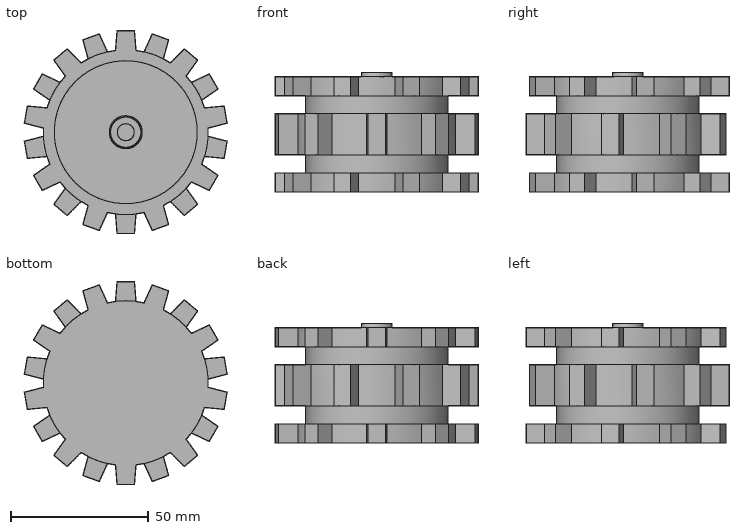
import cadquery as cq

TOOTH_COUNT = 9
TOOTH_PITCH = 360 / TOOTH_COUNT
ROOT_RADIUS = 30.0
TIP_RADIUS = 36.92
TIP_WIDTH = 6.4
ROOT_WIDTH = 7.5
TOOTH_EMBED = 2.0
OUTER_RING_HEIGHT = 7.0
MIDDLE_RING_HEIGHT = 15.0
OUTER_PHASE = 90.0
MIDDLE_PHASE = OUTER_PHASE + TOOTH_PITCH / 2

DRUM_DIAMETER = 52.0
NECK_HEIGHT = 6.5
POCKET_DEPTH = 4.0

HUB_BASE_DIAMETER = 12.0
HUB_TOP_DIAMETER = 11.0
HUB_HEIGHT = 5.51
BORE_DIAMETER = 6.17
SIDE_HOLE_DIAMETER = 2.0
SIDE_HOLE_ANGLE = -72.0
SIDE_HOLE_HEIGHT = 3.0

MIDDLE_RING_Z = OUTER_RING_HEIGHT + NECK_HEIGHT
TOP_RING_Z = MIDDLE_RING_Z + MIDDLE_RING_HEIGHT + NECK_HEIGHT
BODY_HEIGHT = TOP_RING_Z + OUTER_RING_HEIGHT
POCKET_FLOOR_Z = BODY_HEIGHT - POCKET_DEPTH


def turn_about_z(shape, angle):
    return shape.rotate((0, 0, 0), (0, 0, 1), angle)


def cylinder(diameter, height, z):
    return cq.Workplane("XY").workplane(offset=z).circle(diameter / 2).extrude(height)


def tooth(height, z):
    """One tapered tooth pointing along +X, with its inner end buried in the ring."""
    taper = (ROOT_WIDTH - TIP_WIDTH) / (TIP_RADIUS - ROOT_RADIUS)
    inner_half = (ROOT_WIDTH + taper * TOOTH_EMBED) / 2
    inner_radius = ROOT_RADIUS - TOOTH_EMBED
    tip_half = TIP_WIDTH / 2
    outline = [
        (inner_radius, -inner_half),
        (TIP_RADIUS, -tip_half),
        (TIP_RADIUS, tip_half),
        (inner_radius, inner_half),
    ]
    return cq.Workplane("XY").workplane(offset=z).polyline(outline).close().extrude(height)


def toothed_ring(height, z, phase):
    """Disc with evenly spaced teeth, one of them in the direction `phase`."""
    ring = cylinder(2 * ROOT_RADIUS, height, z)
    blank = tooth(height, z)
    for i in range(TOOTH_COUNT):
        ring = ring.union(turn_about_z(blank, phase + i * TOOTH_PITCH))
    return ring


def hub():
    """Tapered hub with a bore down to the pocket floor and a side hole into the bore."""
    cone = (
        cq.Workplane("XY")
        .workplane(offset=POCKET_FLOOR_Z)
        .circle(HUB_BASE_DIAMETER / 2)
        .workplane(offset=HUB_HEIGHT)
        .circle(HUB_TOP_DIAMETER / 2)
        .loft()
    )
    bore = cylinder(BORE_DIAMETER, HUB_HEIGHT, POCKET_FLOOR_Z)
    side_hole = (
        cq.Workplane("YZ")
        .center(0, POCKET_FLOOR_Z + SIDE_HOLE_HEIGHT)
        .circle(SIDE_HOLE_DIAMETER / 2)
        .extrude(HUB_BASE_DIAMETER)
    )
    return cone.cut(bore).cut(turn_about_z(side_hole, SIDE_HOLE_ANGLE))


body = cylinder(DRUM_DIAMETER, BODY_HEIGHT, 0)
body = body.union(toothed_ring(OUTER_RING_HEIGHT, 0, OUTER_PHASE))
body = body.union(toothed_ring(MIDDLE_RING_HEIGHT, MIDDLE_RING_Z, MIDDLE_PHASE))
body = body.union(toothed_ring(OUTER_RING_HEIGHT, TOP_RING_Z, OUTER_PHASE))
body = body.cut(cylinder(DRUM_DIAMETER, POCKET_DEPTH, POCKET_FLOOR_Z))
result = body.union(hub())